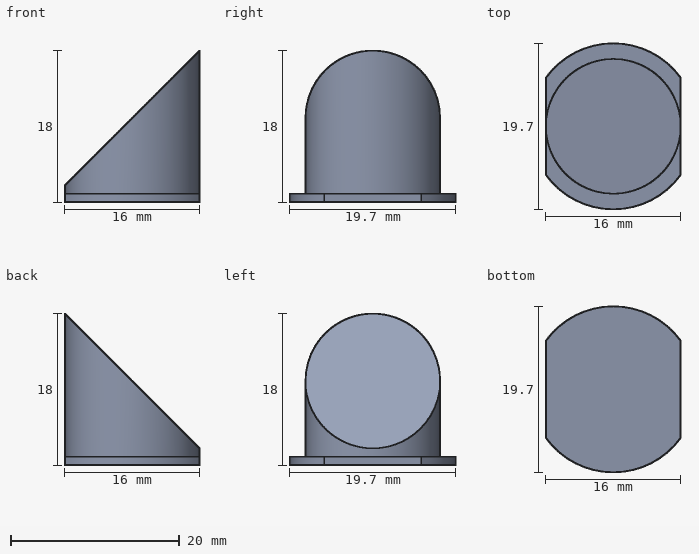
import cadquery as cq

flange_diameter = 19.73
flange_thickness = 1.0
post_diameter = 16.0
overall_height = 18.0

post_radius = post_diameter / 2
low_edge_height = overall_height - post_diameter


def make_flange():
    """Round disc with two flats, parallel to Y and tangent to the post."""
    disc = cq.Workplane("XY").circle(flange_diameter / 2).extrude(flange_thickness)
    flats = cq.Workplane("XY").rect(post_diameter, flange_diameter).extrude(flange_thickness)
    return disc.intersect(flats)


def make_post():
    """Cylinder cut off at 45 degrees, low at -X and high at +X."""
    cylinder = cq.Workplane("XY").circle(post_radius).extrude(overall_height)
    side_profile = (
        cq.Workplane("XZ")
        .moveTo(-post_radius, 0)
        .lineTo(post_radius, 0)
        .lineTo(post_radius, overall_height)
        .lineTo(-post_radius, low_edge_height)
        .close()
        .extrude(post_radius, both=True)
    )
    return cylinder.intersect(side_profile)


result = make_flange().union(make_post())